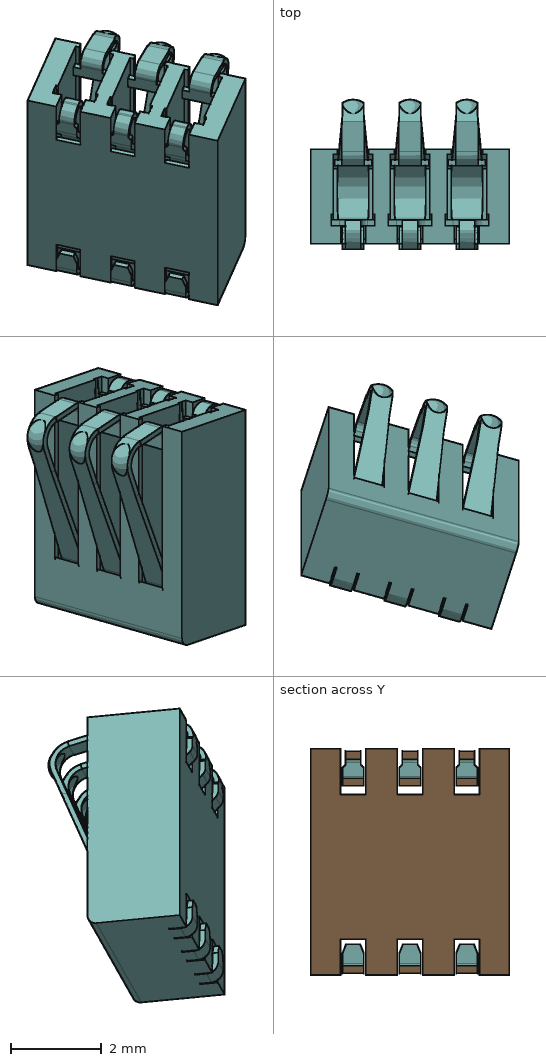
import cadquery as cq
import math


body_width = 4.39
body_depth = 2.09
body_height = 5
heel_radius = 0.2
contact_count = 3
contact_pitch = 1.255

sheet = 0.125
foot_width = 0.475
foot_stand_off = 0.125

cavity_width = 0.87
cavity_front = 0.4
cavity_floor = 0.175
cavity_floor_back = 1.65
back_slot_width = 0.7
back_lip = 0.115
plate_slot_width = 0.965
lead_in_back = 0.65
lead_in_depth = 0.5

notch_width = 0.555
upper_notch_bottom = 3.99
lower_notch_top = 0.81
lower_notch_rise = 0.185
front_lip = 0.105
pit_bottom = 3.6

tip_center = (2.58, 4.27)
tip_radius = 0.525
leaf_angle = 13
arm_angle = 67.7
arm_taper_top = 3.54
arm_taper_bottom = 0.75
arm_base_width = 0.7
loop_inner_radius = 0.65
leaf_width = 0.5
leaf_end_y = 2.045
hook_radius = 0.26
hook_bottom = 4.35
catch_width = 0.82
catch_height = 0.25
dome_center = (2.785, 4.315)
dome_radius = 0.4

plate_shoulder = 4.64
shoulder_fillet = 0.135
neck_width = 0.345
top_lead_radius = 0.305
neck_flare_top = 4.645
upper_foot_bottom = 4.395
upper_curl_radius = 0.2
tail_angle = 45
tail_front_y = 0.245
tail_bend_radius = 0.125

lower_foot_top = 0.685
lower_foot_tip_width = 0.315
lower_foot_shoulder = 0.485
lower_bend_radius = 0.265

leaf_normal = 90 - leaf_angle
arm_normal = arm_angle - 90
plate_back = cavity_front + sheet


def polar(center, radius, angle):
    """Point in the YZ plane at an angle in degrees from +Y."""
    turn = math.radians(angle)
    return (center[0] + radius * math.cos(turn), center[1] + radius * math.sin(turn))


def side_profile(points, width):
    """Polygon in the YZ plane, made symmetric about X = 0."""
    return cq.Workplane("YZ").polyline(points).close().extrude(width / 2, both=True)


def front_profile(points, depth_start, depth_end):
    """Polygon in the XZ plane, running from one Y to another."""
    plane = cq.Workplane("XZ", origin=(0, depth_start, 0))
    return plane.polyline(points).close().extrude(depth_start - depth_end)


def block(width, y_start, y_end, z_start, z_end):
    """Box centred on X = 0."""
    base = cq.Workplane("XY", origin=(0, y_start, z_start))
    return base.box(width, y_end - y_start, z_end - z_start, centered=(True, False, False))


def bend(center, outer_radius, start, end, width):
    """Sheet bent round an X axis between two angles."""
    inner_radius = outer_radius - sheet
    middle = (start + end) / 2
    return (
        cq.Workplane("YZ")
        .moveTo(*polar(center, outer_radius, start))
        .threePointArc(polar(center, outer_radius, middle), polar(center, outer_radius, end))
        .lineTo(*polar(center, inner_radius, end))
        .threePointArc(polar(center, inner_radius, middle), polar(center, inner_radius, start))
        .close()
        .extrude(width / 2, both=True)
    )


def straight(start, end, normal, width):
    """Flat sheet whose outer face runs from start to end; normal is the outward angle."""
    return side_profile([start, end, polar(end, -sheet, normal), polar(start, -sheet, normal)], width)


def loop_center_height():
    """Height at which the bottom loop, already touching the plate, is tangent to the arm."""
    normal_y, normal_z = polar((0, 0), 1, arm_normal)
    offset_y = loop_center_y - tip_center[0]
    return tip_center[1] + (tip_radius - loop_radius - offset_y * normal_y) / normal_z


loop_radius = loop_inner_radius + sheet
loop_center_y = plate_back + loop_inner_radius
loop_center = (loop_center_y, loop_center_height())


def make_cavity():
    """Room for the spring, its exit through the spring face and the slot for the plate."""
    slope = math.tan(math.radians(arm_angle))
    lip_front = body_depth - back_lip

    def outline(back):
        back_z = cavity_floor + (back - cavity_floor_back) * slope
        return [
            (cavity_front, cavity_floor),
            (cavity_floor_back, cavity_floor),
            (back, back_z),
            (back, body_height),
            (cavity_front, body_height),
        ]

    cavity = side_profile(outline(lip_front), cavity_width)
    back_slot = side_profile(outline(body_depth), back_slot_width)
    plate_slot = block(plate_slot_width, cavity_front, plate_back, cavity_floor, body_height)
    lead_in = front_profile(
        [
            (-plate_slot_width / 2, body_height),
            (plate_slot_width / 2, body_height),
            (cavity_width / 2, body_height - lead_in_depth),
            (-cavity_width / 2, body_height - lead_in_depth),
        ],
        plate_back,
        lead_in_back,
    )
    return cavity.union(back_slot).union(plate_slot).union(lead_in)


def make_notches():
    """Solder-face windows for the upper lead and the lower foot."""
    upper = block(notch_width, 0, cavity_front, upper_notch_bottom, body_height)
    pit = block(notch_width, front_lip, cavity_front, pit_bottom, upper_notch_bottom)
    lower = side_profile(
        [
            (0, 0),
            (0, lower_notch_top),
            (front_lip, lower_notch_top - lower_notch_rise),
            (front_lip, sheet),
            (cavity_front, sheet),
            (cavity_front, 0),
        ],
        notch_width,
    )
    return upper.union(pit).union(lower)


def dome_ball(radius):
    """Ball at the dome centre."""
    return cq.Workplane("XY").sphere(radius).translate((0, *dome_center))


def make_dome(arm_top, arm_bottom):
    """Part of the contact dome that stands outside the inner face of the bent sheet."""
    strip = block(foot_width, dome_center[0], dome_center[0] + dome_radius, 0, body_height)
    inside_bend = cq.Workplane("YZ").center(*tip_center).circle(tip_radius - sheet)
    inside_bend = inside_bend.extrude(foot_width, both=True)
    inner_top = polar(arm_top, -sheet, arm_normal)
    inner_bottom = polar(arm_bottom, -sheet, arm_normal)
    inside_arm = side_profile([inner_top, inner_bottom, tip_center], 2 * foot_width)
    return dome_ball(dome_radius).intersect(strip).cut(inside_bend).cut(inside_arm)


def make_spring():
    """Bottom loop, tapered arm, domed tip, returning leaf and hook."""
    arm_top = polar(tip_center, tip_radius, arm_normal)
    arm_bottom = polar(loop_center, loop_radius, arm_normal)
    taper = front_profile(
        [
            (-arm_base_width / 2, 0),
            (arm_base_width / 2, 0),
            (arm_base_width / 2, arm_taper_bottom),
            (foot_width / 2, arm_taper_top),
            (foot_width / 2, body_height),
            (-foot_width / 2, body_height),
            (-foot_width / 2, arm_taper_top),
            (-arm_base_width / 2, arm_taper_bottom),
        ],
        0,
        tip_center[0] + 2 * tip_radius,
    )
    loop = bend(loop_center, loop_radius, -180, arm_normal, arm_base_width)
    arm = loop.union(straight(arm_top, arm_bottom, arm_normal, arm_base_width)).intersect(taper)

    tip = bend(tip_center, tip_radius, arm_normal, leaf_normal, foot_width)
    formed_tip = arm.union(tip).union(make_dome(arm_top, arm_bottom)).cut(dome_ball(dome_radius - sheet))

    leaf_start = polar(tip_center, tip_radius, leaf_normal)
    leaf_rise = (leaf_start[0] - leaf_end_y) * math.tan(math.radians(leaf_angle))
    leaf_end = (leaf_end_y, leaf_start[1] + leaf_rise)
    leaf = straight(leaf_start, leaf_end, leaf_normal, leaf_width)
    return formed_tip.union(leaf).union(make_hook(leaf_end))


def make_hook(leaf_end):
    """Downturned end of the leaf with a wide catch behind the housing lip."""
    center = polar(leaf_end, -hook_radius, leaf_normal)
    front = center[0] - hook_radius
    hook = bend(center, hook_radius, leaf_normal, 180, leaf_width)
    shank = block(leaf_width, front, front + sheet, hook_bottom, center[1])
    catch = block(catch_width, front, front + sheet, hook_bottom, hook_bottom + catch_height)
    return hook.union(shank).union(catch)


def make_plate():
    """Upright plate held in the slot, with a filleted neck and a stub down to the sole."""
    plate = block(plate_slot_width, cavity_front, plate_back, cavity_floor, plate_shoulder)
    neck = block(neck_width, cavity_front, plate_back, cavity_floor, body_height - top_lead_radius)
    fillet_width = neck_width + 2 * shoulder_fillet
    gusset = block(fillet_width, cavity_front, plate_back, plate_shoulder, plate_shoulder + shoulder_fillet)
    for side in (-1, 1):
        relief = cq.Workplane("XZ", origin=(0, cavity_front, 0)).center(
            side * fillet_width / 2, plate_shoulder + shoulder_fillet
        )
        gusset = gusset.cut(relief.circle(shoulder_fillet).extrude(-sheet))
    stub = block(foot_width, cavity_front, plate_back, 0, cavity_floor)
    return plate.union(neck).union(gusset).union(stub)


def make_top_lead():
    """Lead that folds over the front wall and lies against the solder face."""
    center_z = body_height - top_lead_radius
    front_center = (top_lead_radius - foot_stand_off, center_z)
    back_center = (plate_back - top_lead_radius, center_z)
    front_bend = bend(front_center, top_lead_radius, 90, 180, neck_width)
    back_bend = bend(back_center, top_lead_radius, 0, 90, neck_width)
    bridge = block(neck_width, front_center[0], back_center[0], body_height - sheet, body_height)

    flare = (foot_width - neck_width) / 2
    half_neck = neck_width / 2
    half_foot = foot_width / 2
    foot = front_profile(
        [
            (-half_neck, center_z),
            (half_neck, center_z),
            (half_neck, neck_flare_top),
            (half_foot, neck_flare_top - flare),
            (half_foot, upper_foot_bottom),
            (-half_foot, upper_foot_bottom),
            (-half_foot, neck_flare_top - flare),
            (-half_neck, neck_flare_top),
        ],
        -foot_stand_off,
        sheet - foot_stand_off,
    )
    curl_center = (upper_curl_radius - foot_stand_off, upper_foot_bottom)
    curl = bend(curl_center, upper_curl_radius, 180, 180 + tail_angle, foot_width)
    tail = make_tail(polar(curl_center, upper_curl_radius, 180 + tail_angle))
    return front_bend.union(bridge).union(back_bend).union(foot).union(curl).union(tail)


def make_tail(start):
    """Sloping tail that runs in from the curl and turns down into the pit behind the front lip."""
    bend_y = tail_front_y - tail_bend_radius
    slope_end_y, bend_rise = polar((bend_y, 0), tail_bend_radius, tail_angle)
    slope_end = (slope_end_y, start[1] - (slope_end_y - start[0]) * math.tan(math.radians(90 - tail_angle)))
    bend_center = (bend_y, slope_end[1] - bend_rise)
    slope = straight(start, slope_end, 180 + tail_angle, foot_width)
    corner = bend(bend_center, tail_bend_radius + sheet, 0, tail_angle, foot_width)
    end = block(foot_width, tail_front_y, tail_front_y + sheet, pit_bottom, bend_center[1])
    return slope.union(corner).union(end)


def make_lower_foot():
    """Solder foot that turns under the housing to meet the plate."""
    half_tip = lower_foot_tip_width / 2
    half_foot = foot_width / 2
    foot = front_profile(
        [
            (-half_foot, lower_bend_radius),
            (half_foot, lower_bend_radius),
            (half_foot, lower_foot_shoulder),
            (half_tip, lower_foot_top),
            (-half_tip, lower_foot_top),
            (-half_foot, lower_foot_shoulder),
        ],
        -foot_stand_off,
        sheet - foot_stand_off,
    )
    bend_center = (lower_bend_radius - foot_stand_off, lower_bend_radius)
    heel = bend(bend_center, lower_bend_radius, 180, 270, foot_width)
    sole = block(foot_width, bend_center[0], cavity_front, 0, sheet)
    return foot.union(heel).union(sole)


housing = block(body_width, 0, body_depth, 0, body_height).edges(">Y and <Z").fillet(heel_radius)
openings = make_cavity().union(make_notches())
contact = make_plate().union(make_spring()).union(make_top_lead()).union(make_lower_foot())

result = housing
for index in range(contact_count):
    offset = (index - (contact_count - 1) / 2) * contact_pitch
    result = result.cut(openings.translate((offset, 0, 0)))
    result = result.union(contact.translate((offset, 0, 0)))